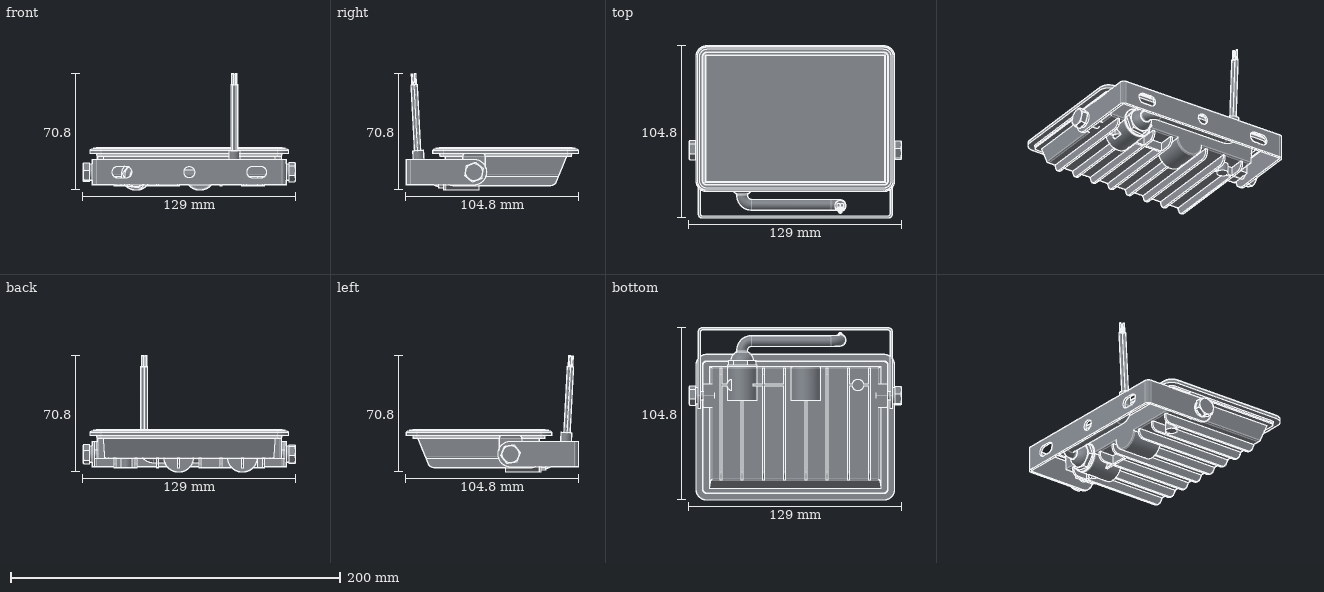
import cadquery as cq
import math


rim_width = 120.7
rim_back = 63.5
rim_front = -25.2
rim_depth = rim_back - rim_front
rim_mid_y = (rim_back + rim_front) / 2
rim_corner = 6.7
rim_bottom = 11.2
rim_top = 15.1
rim_edge = [
    (0, rim_bottom),
    (0, 13.3),
    (0.9, 14.0),
    (2.2, 14.0),
    (2.2, 14.6),
    (3.9, 14.6),
    (4.3, rim_top),
]

glass_inset = 5.7
glass_thickness = 1.3
glass_chamfer = 0.4

ledge_inset = 4.4
ledge_flare = 0.4
ledge_step = 10.3
ledge_bottom = 9.4

body_top_half_width = 52.2
body_floor_half_width = 51.3
body_front = -17.5
body_top_back = 56.2
body_floor_back = 51.3
floor_z = -2.6
floor_round = 0.9

fin_count = 8
fin_pitch = 12.9
fin_thickness = 1.3
fin_bottom = -8.3
fin_front = -16.8
fin_round = 3.9
fin_root = 1.3
fin_slope = (body_top_back - body_floor_back) / (ledge_bottom - floor_z)
tie_y = -6.5
tie_thickness = 1.3
tie_spans = [(-45.2, -6.5), (32.2, 45.2)]
post_x = 38.0
post_radius = 3.5

boss_z = -1.9
gland_x = -32.2
plain_boss_x = 6.5
boss_radius = 9.0
boss_round = 0.6
boss_back = 3.1

side_boss_half_width = 7.1
side_boss_face = rim_width / 2 - ledge_inset
side_boss_round = 1.2

bracket_half_width = 59.0
bracket_thickness = 1.4
bracket_front = -41.3
bracket_height = 15.5
bracket_bend = 2.6
bracket_hole = 6.7
slot_x = 40.9
slot_length = 12.0
slot_height = 7.0

bolt_end = 64.5
head_inner = 60.5
head_corners = 12.1
head_face = 10.3
head_face_chamfer = 0.5
collar_diameter = 9.9
shank_diameter = 5.2
shank_end = 49.0
left_bolt_turn = 9.0
right_bolt_turn = -21.0

cable_diameter = 6.7
cable_radius = cable_diameter / 2
cable_bend = 5.7
cable_run_y = -33.2
cable_x = 27.3
cable_top = 13.2
cable_lean = 3.0
washer_front = -18.6
nut_front = -21.4
nut_corners = 16.8
nut_turn = 8.0
dome_radius = 7.0
dome_center_y = -20.6
dome_end = -26.6

core_diameter = 2.0
core_pitch = 2.2
core_length = 40.0
core_depth = 2.6
wire_diameter = 1.0
wire_length = 6.7


def outline(inset, z):
    """Rim outline moved inwards by `inset`, as a wire at height z."""
    plane = cq.Workplane("XY", origin=(0, rim_mid_y, z))
    wire = plane.rect(rim_width - 2 * inset, rim_depth - 2 * inset).val()
    return wire.fillet2D(rim_corner - inset, wire.Vertices())


def stacked_layers(edge):
    """Solid whose rounded-rectangle sections follow the (inset, height) points of an edge.

    Level stretches of the edge are the flat treads left between two layers.
    """
    solid = None
    for (inset, z), (next_inset, next_z) in zip(edge, edge[1:]):
        if next_z == z:
            continue
        wires = [outline(inset, z), outline(next_inset, next_z)]
        layer = cq.Workplane(cq.Solid.makeLoft(wires, True))
        solid = layer if solid is None else solid.union(layer)
    return solid


def make_glass_block():
    """Sharp-edged block that fills the glass recess."""
    return (
        cq.Workplane("XY", origin=(0, rim_mid_y, rim_top - glass_thickness))
        .rect(rim_width - 2 * glass_inset, rim_depth - 2 * glass_inset)
        .extrude(glass_thickness)
    )


def make_glass():
    return make_glass_block().faces(">Z").chamfer(glass_chamfer)


def make_body():
    """Tub under the ledge: upright front, sloping back and slightly drawn-in sides."""
    side_profile = [
        (body_front, rim_bottom),
        (body_front, floor_z),
        (body_floor_back, floor_z),
        (body_top_back, ledge_bottom),
        (body_top_back, rim_bottom),
    ]
    body = cq.Workplane("YZ").polyline(side_profile).close().extrude(body_top_half_width, both=True)
    front_profile = [
        (-body_top_half_width, rim_bottom),
        (-body_floor_half_width, floor_z),
        (body_floor_half_width, floor_z),
        (body_top_half_width, rim_bottom),
    ]
    envelope = cq.Workplane("XZ").polyline(front_profile).close().extrude(rim_depth, both=True)
    return body.intersect(envelope).faces("<Z").edges().fillet(floor_round)


def make_fins():
    """Row of thin fins rooted in the floor, rounded at both lower corners."""
    back_at_bottom = body_floor_back - fin_slope * (floor_z - fin_bottom)
    fin_profile = [
        (fin_front, floor_z + fin_root),
        (fin_front, fin_bottom),
        (back_at_bottom, fin_bottom),
        (body_floor_back, floor_z),
        (body_floor_back, floor_z + fin_root),
    ]
    first_x = -fin_pitch * (fin_count - 1) / 2
    fins = cq.Workplane("YZ")
    for i in range(fin_count):
        fin = (
            cq.Workplane("YZ", origin=(first_x + i * fin_pitch - fin_thickness / 2, 0, 0))
            .polyline(fin_profile)
            .close()
            .extrude(fin_thickness)
            .edges("|X and <Z")
            .fillet(fin_round)
        )
        fins = fins.union(fin)
    return fins


def make_ties():
    """Cross walls that join the outer fins, with a round post in each end bay."""
    height = floor_z - fin_bottom
    ties = cq.Workplane("XY")
    for start, end in tie_spans:
        ties = ties.union(
            cq.Workplane("XY", origin=((start + end) / 2, tie_y, fin_bottom))
            .rect(end - start, tie_thickness)
            .extrude(height)
        )
    posts = (
        cq.Workplane("XY", origin=(0, tie_y, fin_bottom))
        .pushPoints([(-post_x, 0), (post_x, 0)])
        .circle(post_radius)
        .extrude(height)
    )
    return ties.union(posts)


def make_front_bosses():
    return (
        cq.Workplane("XZ", origin=(0, body_front, boss_z))
        .pushPoints([(gland_x, 0), (plain_boss_x, 0)])
        .circle(boss_radius)
        .extrude(body_front - boss_back)
        .faces("<Y")
        .edges()
        .fillet(boss_round)
    )


def make_side_bosses():
    """Blocks that carry the bolts, flush with the ledge and flaring out to the rim."""
    flared_face = side_boss_face + ledge_flare
    profile = [
        (-side_boss_face, floor_z),
        (side_boss_face, floor_z),
        (side_boss_face, ledge_bottom),
        (flared_face, rim_bottom),
        (-flared_face, rim_bottom),
        (-side_boss_face, ledge_bottom),
    ]
    bosses = cq.Workplane("XZ").polyline(profile).close().extrude(side_boss_half_width, both=True)
    corners = (
        cq.Workplane("XY", origin=(0, 0, floor_z))
        .rect(2 * flared_face, 2 * side_boss_half_width)
        .extrude(rim_bottom - floor_z)
        .edges("|Z")
        .fillet(side_boss_round)
    )
    return bosses.intersect(corners)


def x_cylinder(diameter, start, end):
    return cq.Workplane("YZ", origin=(start, 0, 0)).circle(diameter / 2).extrude(end - start)


def make_housing():
    ledge_edge = [
        (ledge_inset, ledge_bottom),
        (ledge_inset, ledge_step),
        (ledge_inset - ledge_flare, rim_bottom),
    ]
    housing = stacked_layers(rim_edge).union(stacked_layers(ledge_edge))
    for part in (make_body(), make_fins(), make_ties(), make_front_bosses(), make_side_bosses()):
        housing = housing.union(part)
    housing = housing.cut(make_glass_block())
    for side in (-1, 1):
        housing = housing.cut(x_cylinder(shank_diameter, side * shank_end, side * side_boss_face))
    return housing


def make_bracket():
    """U-shaped strip with round arm ends, two slots and a middle hole."""
    arm_radius = bracket_height / 2
    inner_half_width = bracket_half_width - bracket_thickness
    outer = (
        cq.Workplane("XY", origin=(0, 0, -arm_radius))
        .rect(2 * bracket_half_width, -2 * bracket_front)
        .extrude(bracket_height)
        .edges("|Z")
        .fillet(bracket_bend)
    )
    inner = (
        cq.Workplane("XY", origin=(0, 0, -arm_radius))
        .rect(2 * inner_half_width, -2 * (bracket_front + bracket_thickness))
        .extrude(bracket_height)
        .edges("|Z")
        .fillet(bracket_bend - bracket_thickness)
    )
    arm_shape = (
        cq.Workplane("YZ")
        .moveTo(bracket_front, -arm_radius)
        .lineTo(0, -arm_radius)
        .threePointArc((arm_radius, 0), (0, arm_radius))
        .lineTo(bracket_front, arm_radius)
        .close()
        .extrude(bracket_half_width, both=True)
    )
    bracket = outer.cut(inner).intersect(arm_shape)
    slots = (
        cq.Workplane("XZ", origin=(0, bracket_front + bracket_thickness, 0))
        .pushPoints([(-slot_x, 0), (slot_x, 0)])
        .slot2D(slot_length, slot_height)
        .extrude(bracket_thickness)
    )
    hole = (
        cq.Workplane("XZ", origin=(0, bracket_front + bracket_thickness, 0))
        .circle(bracket_hole / 2)
        .extrude(bracket_thickness)
    )
    bolt_holes = x_cylinder(shank_diameter, -bracket_half_width, bracket_half_width)
    return bracket.cut(slots).cut(hole).cut(bolt_holes)


def make_bolt(side, turn):
    """Hexagon bolt on the X axis; `side` is -1 or 1 and `turn` sets a corner's angle from -Y."""
    head = (
        cq.Workplane("YZ", origin=(side * head_inner, 0, 0))
        .polygon(6, head_corners)
        .extrude(side * (bolt_end - head_inner))
        .rotate((0, 0, 0), (1, 0, 0), -turn)
    )
    face_cone = (
        cq.Workplane("XY")
        .moveTo(side * head_inner, 0)
        .lineTo(side * head_inner, head_corners / 2)
        .lineTo(side * (bolt_end - head_face_chamfer), head_corners / 2)
        .lineTo(side * bolt_end, head_face / 2)
        .lineTo(side * bolt_end, 0)
        .close()
        .revolve(360, (0, 0, 0), (1, 0, 0))
    )
    collar = x_cylinder(collar_diameter, side * bracket_half_width, side * head_inner)
    shank = x_cylinder(shank_diameter, side * shank_end, side * bracket_half_width)
    return head.intersect(face_cone).union(collar).union(shank)


def make_gland():
    """Cable gland: washer, hexagon nut and dome, bored for the cable."""
    washer = (
        cq.Workplane("XZ", origin=(gland_x, body_front, boss_z))
        .circle(boss_radius)
        .extrude(body_front - washer_front)
    )
    nut = (
        cq.Workplane("XZ", origin=(gland_x, washer_front, boss_z))
        .polygon(6, nut_corners)
        .extrude(washer_front - nut_front)
        .rotate((gland_x, 0, boss_z), (gland_x, 1, boss_z), nut_turn)
    )
    dome_band = (
        cq.Workplane("XZ", origin=(gland_x, nut_front, boss_z))
        .circle(dome_radius)
        .extrude(nut_front - dome_end)
    )
    ball = cq.Workplane("XY", origin=(gland_x, dome_center_y, boss_z)).sphere(dome_radius)
    bore = (
        cq.Workplane("XZ", origin=(gland_x, body_front, boss_z))
        .circle(cable_radius)
        .extrude(body_front - dome_end)
    )
    return washer.union(nut).union(dome_band.intersect(ball)).cut(bore)


def lean(part):
    """Turn the upright cable end, or a core in it, about the cable run so that it leans to the front."""
    return part.rotate((0, cable_run_y, boss_z), (1, cable_run_y, boss_z), cable_lean)


def make_core(x, y):
    """One insulated core with its bare wire end; (x, y) is its place in the bundle."""
    core = (
        cq.Workplane("XY", origin=(cable_x + x, cable_run_y + y, cable_top - core_depth))
        .circle(core_diameter / 2)
        .extrude(core_depth + core_length)
        .faces(">Z")
        .workplane()
        .circle(wire_diameter / 2)
        .extrude(wire_length)
    )
    return lean(core)


def make_cores():
    """Three cores side by side in a triangle, one of them to the front."""
    circle_radius = core_pitch / math.sqrt(3)
    angles = [math.radians(degrees) for degrees in (30, 150, 270)]
    return [make_core(circle_radius * math.cos(a), circle_radius * math.sin(a)) for a in angles]


def make_cable(cores):
    """Sheath that leaves the gland, turns to +X and rises at its end, with the cores let into the tip."""
    arc_middle = cable_bend * (1 - math.sqrt(0.5))
    run_path = (
        cq.Workplane("XY", origin=(gland_x, cable_run_y, boss_z))
        .moveTo(0, body_front - cable_run_y)
        .lineTo(0, cable_bend)
        .threePointArc((arc_middle, arc_middle), (cable_bend, 0))
        .lineTo(cable_x - cable_bend - gland_x, 0)
    )
    run = cq.Workplane("XZ", origin=(gland_x, body_front, boss_z)).circle(cable_radius).sweep(run_path)
    rise_path = (
        cq.Workplane("XZ", origin=(cable_x, cable_run_y, boss_z))
        .moveTo(-cable_bend, 0)
        .threePointArc((-arc_middle, arc_middle), (0, cable_bend))
        .lineTo(0, cable_top - boss_z)
    )
    rise_start = cq.Workplane("YZ", origin=(cable_x - cable_bend, cable_run_y, boss_z))
    rise = lean(rise_start.circle(cable_radius).sweep(rise_path))
    sheath = run.union(rise)
    for core in cores:
        sheath = sheath.cut(core)
    return sheath


housing = make_housing()
glass = make_glass()
bracket = make_bracket()
bolts = [make_bolt(side, turn) for side, turn in ((-1, left_bolt_turn), (1, right_bolt_turn))]
gland = make_gland()
cores = make_cores()
cable = make_cable(cores)

bodies = [housing, glass, bracket, gland, cable, *bolts, *cores]
result = cq.Compound.makeCompound([body.solids().val() for body in bodies])